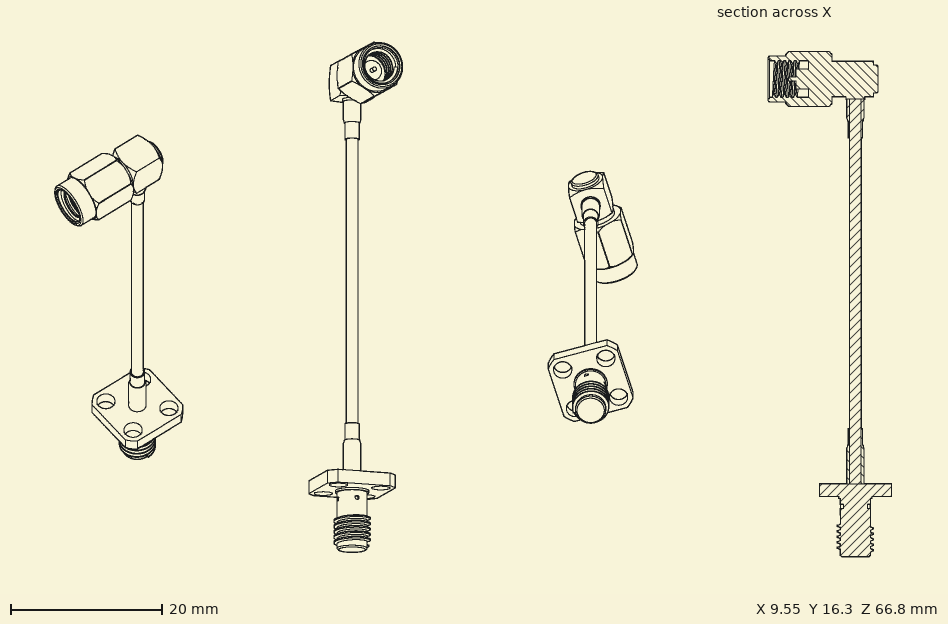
import cadquery as cq
import math


total_height = 66.8
flange_bottom = 7.95
flange_thickness = 1.75
flange_top = flange_bottom + flange_thickness

thread_root_radius = 2.0
thread_crest_radius = 2.4
thread_base_width = 0.55
thread_crest_width = 0.17
thread_overlap = 0.1

flange_side = 9.55
flange_corner_diameter = 12.0
flange_hole_diameter = 2.4
flange_hole_spacing = 5.95
shoulder_radius = 2.2
shoulder_height = 0.3
barrel_chamfer = 0.2
jack_thread_start = 0.7
jack_thread_height = 3.6
jack_thread_turns = 5
side_hole_diameter = 0.55
side_hole_depth = 0.4
side_hole_drop = 1.3

cable_diameter = 1.6
cable_radius = cable_diameter / 2
ferrule_neck_diameter = 1.95
ferrule_neck_radius = ferrule_neck_diameter / 2
ferrule_neck_length = 2.2
ferrule_tube_diameter = 2.35
ferrule_tube_radius = ferrule_tube_diameter / 2
ferrule_chamfer_width = 0.15
ferrule_chamfer_length = 0.5
lower_ferrule_length = 7.3
upper_ferrule_length = 5.1

nut_across_flats = 6.35
nut_bar_diameter = 7.3
nut_front = -9.2
nut_back = -3.1
nut_chamfer = 0.4
collar_front = -11.55
collar_radius = 3.1
collar_chamfer = 0.2
plug_axis_height = total_height - nut_bar_diameter / 2

body_side = 4.75
body_front = -2.5
body_back = 2.4
body_chamfer_length = 0.55
neck_radius = body_side / 2
cap_radius = 1.9
cap_back = 3.0
cap_chamfer = 0.2
boss_radius = 1.3
boss_height = 0.35
boss_bottom = plug_axis_height - body_side / 2 - boss_height

socket_depth = 5.35
socket_mouth_radius = 2.6
contact_sleeve_radius = 1.35
contact_sleeve_length = 1.7
pin_radius = 0.3
pin_length = 2.7
plug_thread_start = 0.6
plug_thread_height = 3.55
plug_thread_turns = 5


def thread_ridge(base_radius, tip_radius, start, height, turns):
    """One helical ridge around Z, from base_radius to tip_radius (inward or outward)."""
    outward = math.copysign(1, tip_radius - base_radius)
    buried_radius = base_radius - outward * thread_overlap
    helix = cq.Wire.makeHelix(height / turns, height, base_radius)
    ridge = (
        cq.Workplane("XZ")
        .moveTo(buried_radius, -thread_base_width / 2)
        .lineTo(tip_radius, -thread_crest_width / 2)
        .lineTo(tip_radius, thread_crest_width / 2)
        .lineTo(buried_radius, thread_base_width / 2)
        .close()
        .sweep(cq.Workplane(obj=helix), isFrenet=True)
    )
    return ridge.translate((0, 0, start))


def cylinder(radius, bottom, top):
    """A cylinder on the Z axis between two levels."""
    return cq.Workplane("XY").workplane(offset=bottom).circle(radius).extrude(top - bottom)


def make_jack():
    """Square flange with a threaded barrel hanging below it."""
    flange = cq.Workplane("XY").workplane(offset=flange_bottom).rect(flange_side, flange_side)
    flange = flange.extrude(flange_thickness)
    flange = flange.intersect(cylinder(flange_corner_diameter / 2, flange_bottom, flange_top))
    flange = (
        flange.faces(">Z")
        .workplane(origin=(0, 0, flange_top))
        .rect(flange_hole_spacing, flange_hole_spacing, forConstruction=True)
        .vertices()
        .hole(flange_hole_diameter)
    )

    barrel = cylinder(thread_root_radius, 0, flange_bottom).faces("<Z").chamfer(barrel_chamfer)
    shoulder = cylinder(shoulder_radius, flange_bottom - shoulder_height, flange_bottom)
    ridge = thread_ridge(
        thread_root_radius, thread_crest_radius, jack_thread_start, jack_thread_height, jack_thread_turns
    )
    jack = flange.union(barrel).union(shoulder).union(ridge)

    side_hole = (
        cq.Workplane("YZ")
        .workplane(offset=thread_root_radius - side_hole_depth)
        .center(0, flange_bottom - side_hole_drop)
        .circle(side_hole_diameter / 2)
        .extrude(2 * side_hole_depth)
    )
    for angle in range(0, 360, 90):
        jack = jack.cut(side_hole.rotate((0, 0, 0), (0, 0, 1), angle))
    return jack


def make_ferrule(seat, direction, length):
    """Crimp ferrule over the cable: a wide tube at the seat, then a cone and a narrow neck."""
    tube_end = seat + direction * (length - ferrule_neck_length - ferrule_chamfer_length)
    cone_end = tube_end + direction * ferrule_chamfer_length
    neck_end = seat + direction * length
    return (
        cq.Workplane("XZ")
        .moveTo(cable_radius, seat)
        .lineTo(ferrule_tube_radius, seat)
        .lineTo(ferrule_tube_radius, tube_end)
        .lineTo(ferrule_tube_radius - ferrule_chamfer_width, cone_end)
        .lineTo(ferrule_neck_radius, cone_end)
        .lineTo(ferrule_neck_radius, neck_end)
        .lineTo(cable_radius, neck_end)
        .close()
        .revolve(360, (0, 0, 0), (0, 1, 0))
    )


def make_nut():
    """Hexagon milled from a chamfered round bar, with a collar in front; Z is the plug axis, +Z forward."""
    across_corners = nut_across_flats / math.cos(math.pi / 6)
    length = nut_back - nut_front
    hexagon = cq.Workplane("XY").workplane(offset=-nut_back).polygon(6, across_corners)
    hexagon = hexagon.extrude(length).rotate((0, 0, 0), (0, 0, 1), 90)
    envelope = cylinder(nut_bar_diameter / 2, -nut_back, -nut_front).edges().chamfer(nut_chamfer)
    collar = cylinder(collar_radius, -nut_front, -collar_front).faces(">Z").chamfer(collar_chamfer)
    return hexagon.intersect(envelope).union(collar)


def make_elbow():
    """Square block with turned ends, rear cap and front neck; Z is the plug axis, +Z forward."""
    corner_radius = body_side / math.sqrt(2)
    block = cq.Workplane("XY").workplane(offset=-body_back).rect(body_side, body_side)
    block = block.extrude(body_back - body_front)
    envelope = (
        cylinder(corner_radius, -body_back, -body_front)
        .edges()
        .chamfer(body_chamfer_length, corner_radius - neck_radius)
    )
    neck = cylinder(neck_radius, -body_front, -nut_back)
    cap = cylinder(cap_radius, -cap_back, -body_back).faces("<Z").chamfer(cap_chamfer)
    return block.intersect(envelope).union(neck).union(cap)


def make_plug():
    """Right-angle plug: elbow, nut with a threaded socket, contact, and the boss over the cable."""
    mouth = -collar_front
    floor = mouth - socket_depth
    socket = cylinder(thread_crest_radius, floor, mouth)
    lead_in = cylinder(socket_mouth_radius, mouth - collar_chamfer, mouth)
    contact_sleeve = cylinder(contact_sleeve_radius, floor, floor + contact_sleeve_length)
    pin = cylinder(pin_radius, floor, floor + pin_length)
    thread_start = mouth - plug_thread_start - plug_thread_height
    ridge = thread_ridge(
        thread_crest_radius, thread_root_radius, thread_start, plug_thread_height, plug_thread_turns
    )

    plug = make_elbow().union(make_nut())
    plug = plug.cut(socket).cut(lead_in)
    plug = plug.union(ridge).union(contact_sleeve).union(pin)
    plug = plug.rotate((0, 0, 0), (1, 0, 0), 90).translate((0, 0, plug_axis_height))

    boss = cylinder(boss_radius, boss_bottom, boss_bottom + boss_height)
    return plug.union(boss)


jack = make_jack()
plug = make_plug()
cable = cylinder(cable_radius, flange_top, boss_bottom)
ferrules = [
    make_ferrule(seat, direction, length)
    for seat, direction, length in (
        (flange_top, 1, lower_ferrule_length),
        (boss_bottom, -1, upper_ferrule_length),
    )
]

result = cq.Compound.makeCompound(
    [jack.val(), plug.val(), cable.val()] + [ferrule.val() for ferrule in ferrules]
)